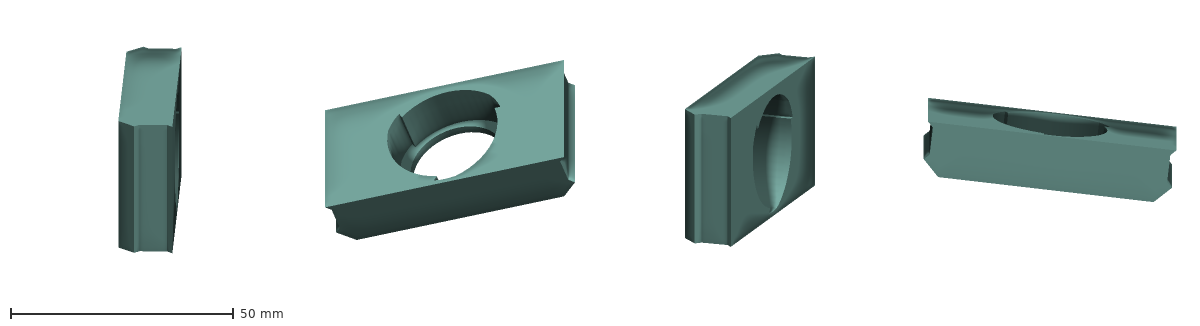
import cadquery as cq
import math

span = 45.8
height = 30.0
front_face_end = 34.5
notch_offset = 6.1
lip = 1.7

entry_diameter = 22.25
entry_depth = 2.0
cam_diameter = 28.0
cam_count = 3
cam_middle_radius = 12.65
tooth_radius = 12.7
tooth_angle = 38.3
stop_angle = 40.3
dwell_start = 19.3

notch_edge = span - notch_offset
thickness = (span + notch_edge - front_face_end) / math.sqrt(2)
cam_radius = cam_diameter / 2


def cam_point(radius, angle):
    """Bore section point at an angle in degrees from the end with Y = 0 towards +Z."""
    turn = math.radians(angle)
    return -radius * math.cos(turn), radius * math.sin(turn)


def make_plate():
    right_end = [
        (front_face_end, 0),
        (notch_edge, 0),
        (notch_edge, lip),
        (span - lip, notch_offset),
        (span, notch_offset),
    ]
    left_end = [(y, x) for x, y in reversed(right_end)]
    return cq.Workplane("XY").polyline(right_end + left_end).close().extrude(height)


def make_bore():
    bore_plane = cq.Plane(
        origin=(front_face_end / 2, front_face_end / 2, height / 2),
        xDir=(-1, 1, 0),
        normal=(1, 1, 0),
    )
    entry = cq.Workplane(bore_plane).circle(entry_diameter / 2).extrude(entry_depth)

    pitch = 360 / cam_count
    ramp_middle = (tooth_angle + dwell_start + pitch) / 2
    dwell_middle = (dwell_start + stop_angle) / 2

    profile = cq.Workplane(bore_plane).workplane(offset=entry_depth)
    profile = profile.moveTo(*cam_point(tooth_radius, tooth_angle))
    for cam in range(cam_count):
        turn = cam * pitch
        profile = profile.threePointArc(
            cam_point(cam_middle_radius, turn + ramp_middle),
            cam_point(cam_radius, turn + dwell_start + pitch),
        )
        profile = profile.threePointArc(
            cam_point(cam_radius, turn + pitch + dwell_middle),
            cam_point(cam_radius, turn + pitch + stop_angle),
        )
        profile = profile.lineTo(*cam_point(tooth_radius, turn + pitch + tooth_angle))
    cam_bore = profile.close().extrude(thickness - entry_depth)
    return entry.union(cam_bore)


result = make_plate().cut(make_bore())